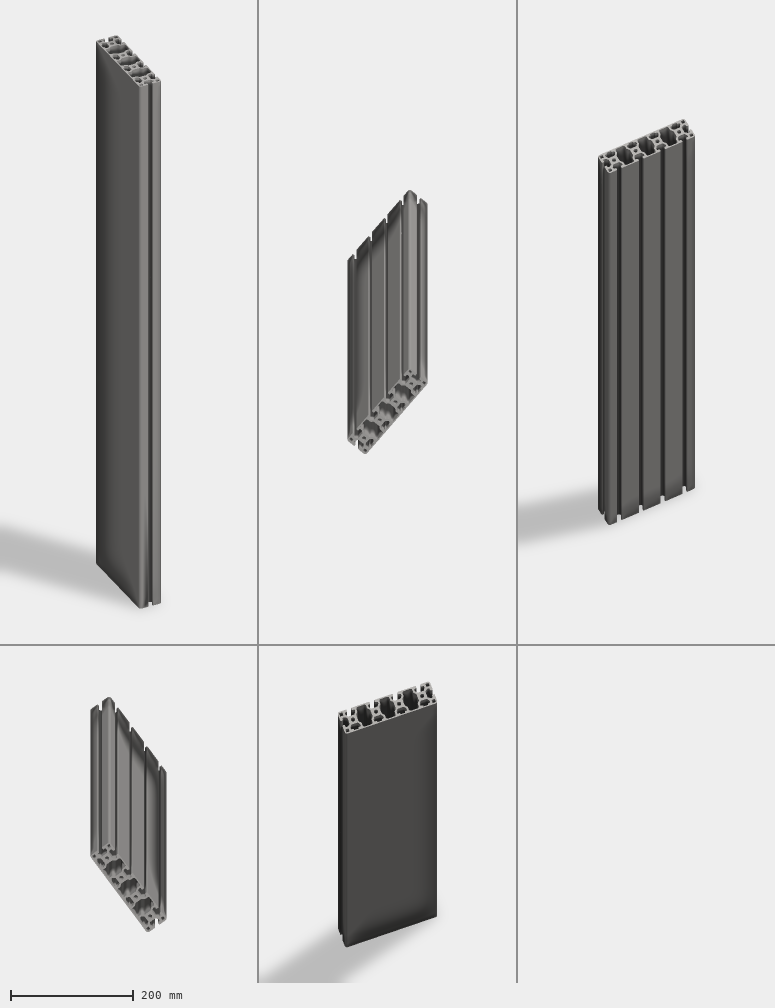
import cadquery as cq

module = 40.0
module_count = 4
length = 1000.0
width = module_count * module
half_module = module / 2
outer_corner_radius = 4.0

slot_opening = 8.0
lip_thickness = 4.5
undercut_width = 17.0
undercut_straight_depth = 8.0
slot_depth = 12.5
slot_floor_width = 11.0
undercut_radius = 1.5
lip_inner_radius = 1.4
mouth_radius = 1.0
cover_thickness = 2.0
cover_corner_radius = 0.5

core_hole_diameter = 6.8

skin_thickness = 2.0
chamber_neck_width = 17.0
chamber_waist_width = 24.5
chamber_neck_height = 20.0
chamber_waist_height = 12.0
chamber_radius = 3.0

cavity_wall = 2.5
cavity_size = 5.5
cavity_radius = 0.5

core_positions = [(i - (module_count - 1) / 2) * module for i in range(module_count)]
chamber_positions = [x + half_module for x in core_positions[:-1]]
lip_level = half_module - lip_thickness


def prism(points):
    """Full-length prism over a closed polygon."""
    return cq.Workplane("XY").polyline(points).close().extrude(length)


def mirror_across_y_axis(points):
    """Close a right-hand half outline with its left-hand mirror image."""
    return points + [(-x, y) for x, y in reversed(points)]


def undercut():
    """Wide inner part of a T-slot, tapering to the slot floor."""
    right_half = [
        (undercut_width / 2, lip_level),
        (undercut_width / 2, half_module - undercut_straight_depth),
        (slot_floor_width / 2, half_module - slot_depth),
    ]
    return prism(mirror_across_y_axis(right_half)).edges("|Z").fillet(undercut_radius)


def neck(top_level):
    """Straight neck from the given level down to the middle of the undercut."""
    bottom_level = half_module - undercut_straight_depth
    right_half = [(slot_opening / 2, top_level), (slot_opening / 2, bottom_level)]
    return prism(mirror_across_y_axis(right_half))


def round_lips(slot):
    """Round the two lip edges where the neck meets the undercut."""
    margin = 0.1
    for side in (-1, 1):
        x = side * slot_opening / 2
        lip_edge = cq.selectors.BoxSelector(
            (x - margin, lip_level - margin, -margin),
            (x + margin, lip_level + margin, length + margin),
        )
        slot = slot.edges(lip_edge).fillet(lip_inner_radius)
    return slot


def mouth_flare():
    """Flared entry that leaves rounded mouth edges on the outer face."""
    inner_x = slot_opening / 2
    outer_x = inner_x + mouth_radius
    flare_level = half_module - mouth_radius
    return (
        cq.Workplane("XY")
        .moveTo(outer_x, half_module)
        .radiusArc((inner_x, flare_level), -mouth_radius)
        .lineTo(-inner_x, flare_level)
        .radiusArc((-outer_x, half_module), -mouth_radius)
        .close()
        .extrude(length)
    )


def open_slot():
    """T-slot cutter entering from the face at y = half_module."""
    slot = round_lips(undercut().union(neck(half_module - mouth_radius)))
    return slot.union(mouth_flare())


def closed_slot():
    """T-slot cutter that leaves a cover under the face at y = half_module."""
    covered_neck = neck(half_module - cover_thickness)
    covered_neck = covered_neck.edges("|Z and >Y").fillet(cover_corner_radius)
    return round_lips(undercut().union(covered_neck))


def turned(slot, angle):
    """Slot cutter turned about the core axis."""
    return slot.rotate((0, 0, 0), (0, 0, 1), angle)


def chamber():
    """Waisted hollow between two neighbouring cores."""
    upper_right = [
        (chamber_neck_width / 2, half_module - skin_thickness),
        (chamber_neck_width / 2, chamber_neck_height / 2),
        (chamber_waist_width / 2, chamber_waist_height / 2),
    ]
    right_half = upper_right + [(x, -y) for x, y in reversed(upper_right)]
    return prism(mirror_across_y_axis(right_half)).edges("|Z").fillet(chamber_radius)


def corner_cavities():
    """Small square hollows behind the four outer corners."""
    inset = 2 * cavity_wall + cavity_size
    return (
        cq.Workplane("XY")
        .rect(width - inset, module - inset, forConstruction=True)
        .vertices()
        .rect(cavity_size, cavity_size)
        .extrude(length)
        .edges("|Z")
        .fillet(cavity_radius)
    )


def core_holes():
    """Round channels along the core axes."""
    centres = [(x, 0) for x in core_positions]
    return cq.Workplane("XY").pushPoints(centres).circle(core_hole_diameter / 2).extrude(length)


def build_profile():
    body = cq.Workplane("XY").rect(width, module).extrude(length)
    body = body.edges("|Z").fillet(outer_corner_radius)

    back_slot = open_slot()
    front_slot = turned(closed_slot(), 180)
    for x in core_positions:
        body = body.cut(back_slot.translate((x, 0, 0)))
        body = body.cut(front_slot.translate((x, 0, 0)))

    body = body.cut(turned(back_slot, 90).translate((core_positions[0], 0, 0)))
    body = body.cut(turned(back_slot, -90).translate((core_positions[-1], 0, 0)))

    hollow = chamber()
    for x in chamber_positions:
        body = body.cut(hollow.translate((x, 0, 0)))

    return body.cut(corner_cavities()).cut(core_holes())


result = build_profile()